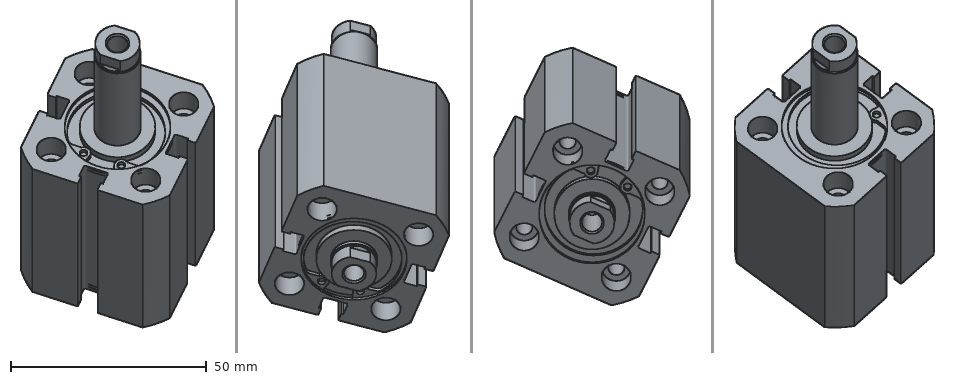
import cadquery as cq
import math

HOUSING_SIDE = 41.0
HOUSING_HEIGHT = 53.0
CORNER_CIRCLE_DIAMETER = 51.0
BORE_RADIUS = 13.5

BOLT_PITCH = 26.0
BOLT_HOLE_DIAMETER = 4.2
COUNTERBORE_DIAMETER = 7.5
COUNTERBORE_DEPTH = 7.0

SLOT_DEPTH = 6.0
SLOT_MOUTH_WIDTH = 5.4
SLOT_MOUTH_DEPTH = 2.4
SLOT_FLARE_WIDTH = 0.5
SLOT_FLARE_DEPTH = 0.15
SLOT_INNER_WIDTH = 6.6
SLOT_FLOOR_FILLET = 0.5
SLOT_ANGLES = (0, 180, 270)

RING_RADIUS = 14.4
RING_THICKNESS = 1.1
RING_INSET = 0.9
RING_OPENING_RADIUS = 12.55
RING_OPENING_SHIFT = 0.95
RING_OPENING_FLOOR = 8.9
RING_OPENING_FILLET = 2.0
LUG_X = 5.2
LUG_Y = 10.3
LUG_RADIUS = 1.85
LUG_HOLE_DIAMETER = 2.0
RING_GAP_END_HALF_WIDTH = 4.3

COVER_LENGTH = 12.0
COVER_BOSS_RADIUS = 9.65
COVER_BOSS_HEIGHT = RING_INSET + RING_THICKNESS

ROD_RADIUS = 6.0
ROD_TOP_REACH = 36.0
ROD_BOTTOM_REACH = 6.0
NECK_RADIUS = 5.7
NECK_LENGTH = 4.6
FLAT_SPACING = 10.0
FLAT_LENGTH = 3.8
TAPPED_HOLE_RADIUS = 2.6
TAPPED_HOLE_DEPTH = 12.0
HOLE_MOUTH_RADIUS = 3.05
DRILL_POINT_ANGLE = 118.0

MID_HEIGHT = HOUSING_HEIGHT / 2


def at_both_ends(top_body):
    """Return the body at the top of the housing and its mirror at the bottom."""
    return [top_body, top_body.mirror("XY", (0, 0, MID_HEIGHT))]


def side_slot(angle):
    """T-shaped slot with a flared mouth, running the full height: made on the +X side, then turned."""
    side = HOUSING_SIDE / 2
    inner_length = SLOT_DEPTH - SLOT_MOUTH_DEPTH
    mouth = (
        cq.Workplane("XY")
        .center(side - SLOT_DEPTH / 2, 0)
        .rect(SLOT_DEPTH, SLOT_MOUTH_WIDTH)
        .extrude(HOUSING_HEIGHT)
    )
    inner = (
        cq.Workplane("XY")
        .center(side - SLOT_MOUTH_DEPTH - inner_length / 2, 0)
        .rect(inner_length, SLOT_INNER_WIDTH)
        .extrude(HOUSING_HEIGHT)
        .edges("|Z and <X")
        .fillet(SLOT_FLOOR_FILLET)
    )
    flare = (
        cq.Workplane("XY")
        .moveTo(side, -SLOT_MOUTH_WIDTH / 2 - SLOT_FLARE_WIDTH)
        .lineTo(side, SLOT_MOUTH_WIDTH / 2 + SLOT_FLARE_WIDTH)
        .lineTo(side - SLOT_FLARE_DEPTH, SLOT_MOUTH_WIDTH / 2)
        .lineTo(side - SLOT_FLARE_DEPTH, -SLOT_MOUTH_WIDTH / 2)
        .close()
        .extrude(HOUSING_HEIGHT)
    )
    return mouth.union(inner).union(flare).rotate((0, 0, 0), (0, 0, 1), angle)


def bolt_holes():
    """Four through holes, counterbored from both ends."""
    def cylinders(diameter, base, height):
        return (
            cq.Workplane("XY", origin=(0, 0, base))
            .rect(BOLT_PITCH, BOLT_PITCH, forConstruction=True)
            .vertices()
            .circle(diameter / 2)
            .extrude(height)
        )

    holes = cylinders(BOLT_HOLE_DIAMETER, 0, HOUSING_HEIGHT)
    counterbores = cylinders(COUNTERBORE_DIAMETER, HOUSING_HEIGHT - COUNTERBORE_DEPTH, COUNTERBORE_DEPTH)
    for end_counterbores in at_both_ends(counterbores):
        holes = holes.union(end_counterbores)
    return holes


def ring_blank():
    """Full disc filling the upper ring groove."""
    base = HOUSING_HEIGHT - RING_INSET - RING_THICKNESS
    return cq.Workplane("XY", origin=(0, 0, base)).circle(RING_RADIUS).extrude(RING_THICKNESS)


def make_housing():
    corner_cylinder = cq.Workplane("XY").circle(CORNER_CIRCLE_DIAMETER / 2).extrude(HOUSING_HEIGHT)
    housing = (
        cq.Workplane("XY")
        .rect(HOUSING_SIDE, HOUSING_SIDE)
        .extrude(HOUSING_HEIGHT)
        .intersect(corner_cylinder)
        .cut(cq.Workplane("XY").circle(BORE_RADIUS).extrude(HOUSING_HEIGHT))
        .cut(bolt_holes())
    )
    for groove in at_both_ends(ring_blank()):
        housing = housing.cut(groove)
    for angle in SLOT_ANGLES:
        housing = housing.cut(side_slot(angle))
    return housing


def make_ring():
    """Upper ring: eccentric opening, with two drilled lugs beside a gap facing -Y."""
    plane = cq.Workplane("XY", origin=(0, 0, HOUSING_HEIGHT - RING_INSET - RING_THICKNESS))

    below_floor = (
        plane.center(0, -RING_OPENING_FLOOR - RING_RADIUS / 2)
        .rect(2 * RING_RADIUS, RING_RADIUS)
        .extrude(RING_THICKNESS)
    )
    opening = (
        plane.center(0, -RING_OPENING_SHIFT)
        .circle(RING_OPENING_RADIUS)
        .extrude(RING_THICKNESS)
        .cut(below_floor)
        .edges("|Z and <Y")
        .fillet(RING_OPENING_FILLET)
    )
    between_lugs = (
        plane.center(0, -LUG_Y / 2)
        .rect(2 * LUG_X, LUG_Y)
        .extrude(RING_THICKNESS)
    )
    gap_half_width = LUG_X - LUG_RADIUS
    gap = (
        plane.moveTo(-gap_half_width, -LUG_Y)
        .lineTo(gap_half_width, -LUG_Y)
        .lineTo(RING_GAP_END_HALF_WIDTH, -RING_RADIUS)
        .lineTo(-RING_GAP_END_HALF_WIDTH, -RING_RADIUS)
        .close()
        .extrude(RING_THICKNESS)
    )
    lug_centres = [(-LUG_X, -LUG_Y), (LUG_X, -LUG_Y)]
    lugs = plane.pushPoints(lug_centres).circle(LUG_RADIUS).extrude(RING_THICKNESS)
    lug_holes = plane.pushPoints(lug_centres).circle(LUG_HOLE_DIAMETER / 2).extrude(RING_THICKNESS)
    return ring_blank().cut(opening).cut(between_lugs).cut(gap).union(lugs).cut(lug_holes)


def make_cover():
    """Upper cover: flange under the ring, with a boss level with the housing end."""
    flange_length = COVER_LENGTH - COVER_BOSS_HEIGHT
    return (
        cq.Workplane("XY", origin=(0, 0, HOUSING_HEIGHT - COVER_LENGTH))
        .circle(BORE_RADIUS)
        .extrude(flange_length)
        .faces(">Z")
        .workplane()
        .circle(COVER_BOSS_RADIUS)
        .extrude(COVER_BOSS_HEIGHT)
        .faces(">Z")
        .workplane()
        .circle(ROD_RADIUS)
        .cutThruAll()
    )


def rod_end_cut():
    """Material removed at a rod end whose face lies on z = 0, with the rod below it."""
    step = ROD_RADIUS - NECK_RADIUS
    neck = (
        cq.Workplane("XZ")
        .moveTo(NECK_RADIUS, 0)
        .lineTo(ROD_RADIUS, 0)
        .lineTo(ROD_RADIUS, -NECK_LENGTH - step)
        .lineTo(NECK_RADIUS, -NECK_LENGTH)
        .close()
        .revolve(360, (0, 0, 0), (0, 1, 0))
    )

    flat_depth = ROD_RADIUS - FLAT_SPACING / 2
    flat = (
        cq.Workplane("YZ")
        .moveTo(FLAT_SPACING / 2, 0)
        .lineTo(ROD_RADIUS, 0)
        .lineTo(ROD_RADIUS, -FLAT_LENGTH - flat_depth)
        .lineTo(FLAT_SPACING / 2, -FLAT_LENGTH)
        .close()
        .extrude(ROD_RADIUS, both=True)
    )

    mouth_depth = HOLE_MOUTH_RADIUS - TAPPED_HOLE_RADIUS
    point_depth = TAPPED_HOLE_RADIUS / math.tan(math.radians(DRILL_POINT_ANGLE / 2))
    hole = (
        cq.Workplane("XZ")
        .lineTo(HOLE_MOUTH_RADIUS, 0)
        .lineTo(TAPPED_HOLE_RADIUS, -mouth_depth)
        .lineTo(TAPPED_HOLE_RADIUS, -TAPPED_HOLE_DEPTH)
        .lineTo(0, -TAPPED_HOLE_DEPTH - point_depth)
        .close()
        .revolve(360, (0, 0, 0), (0, 1, 0))
    )
    return neck.union(flat).union(flat.mirror("XZ")).union(hole)


def make_rod():
    rod_bottom = -ROD_BOTTOM_REACH
    rod_top = HOUSING_HEIGHT + ROD_TOP_REACH
    end_cut = rod_end_cut()
    return (
        cq.Workplane("XY", origin=(0, 0, rod_bottom))
        .circle(ROD_RADIUS)
        .extrude(rod_top - rod_bottom)
        .cut(end_cut.translate((0, 0, rod_top)))
        .cut(end_cut.mirror("XY").translate((0, 0, rod_bottom)))
    )


housing = make_housing()
rod = make_rod()
covers = at_both_ends(make_cover())
rings = at_both_ends(make_ring())

result = cq.Compound.makeCompound(
    [
        housing.val(),
        rod.val(),
        *[cover.val() for cover in covers],
        *[ring.val() for ring in rings],
    ]
)